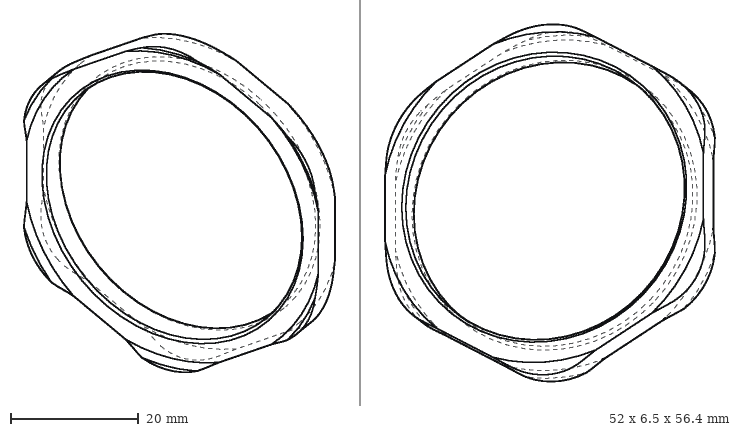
import cadquery as cq
import math

corner_span = 56.35
flat_span = 52.0
thickness = 6.5
bore_diameter = 45.5
bore_chamfer = 0.5
recess_floor_radius = 26.55
recess_rim_radius = 27.55
recess_depth = 1.0
back_face_radius = 26.55

sides = 6
half_thickness = thickness / 2
bore_radius = bore_diameter / 2
vertex_radius = flat_span / 2 / math.cos(math.pi / sides)
corner_radius = (vertex_radius - corner_span / 2) / (1 / math.cos(math.pi / sides) - 1)


def rounded_hexagon():
    """Hexagonal plate with corners on +Z and -Z and flats on +X and -X."""
    return (
        cq.Workplane("XZ")
        .polygon(sides, 2 * vertex_radius)
        .extrude(half_thickness, both=True)
        .rotate((0, 0, 0), (0, 1, 0), 360 / sides / 2)
        .edges("|Y")
        .fillet(corner_radius)
    )


def revolve_profile(points):
    """Solid of revolution about Y from (radius, y) points."""
    return cq.Workplane("XY").polyline(points).close().revolve(360, (0, 0, 0), (0, 1, 0))


bevel = corner_span / 2 - back_face_radius
envelope = revolve_profile([
    (0, -half_thickness),
    (corner_span / 2, -half_thickness),
    (corner_span / 2, half_thickness - bevel),
    (back_face_radius, half_thickness),
    (0, half_thickness),
])

floor_y = recess_depth - half_thickness
recess = revolve_profile([
    (0, -half_thickness),
    (recess_rim_radius, -half_thickness),
    (recess_floor_radius, floor_y),
    (0, floor_y),
])

bore = revolve_profile([
    (0, floor_y),
    (bore_radius + bore_chamfer, floor_y),
    (bore_radius, floor_y + bore_chamfer),
    (bore_radius, half_thickness - bore_chamfer),
    (bore_radius + bore_chamfer, half_thickness),
    (0, half_thickness),
])

result = rounded_hexagon().intersect(envelope).cut(recess).cut(bore)